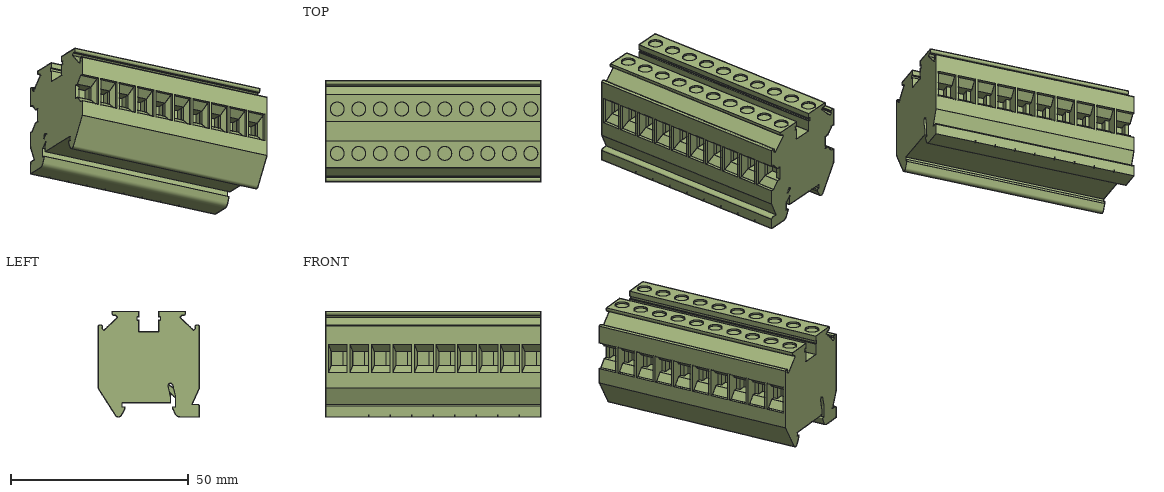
import cadquery as cq
import math


LENGTH = 60.45
WIDTH = 28.5
HEIGHT = 29.7
HALF_WIDTH = WIDTH / 2
POLE_COUNT = 10
PITCH = LENGTH / POLE_COUNT

WALL_BOTTOM = 8.1
LIP_EDGE_Z = 25.65

LIP_CREST = (13.7, 25.92)
LIP_INNER_Y = 13.05
LIP_UNDERCUT_TOP = (12.93, 25.3)
LIP_UNDERCUT_BOTTOM = (13.15, 24.95)
SHOULDER_FOOT = (12.6, 24.4)
SHOULDER_HEAD = (8.8, 28.0)
OVERHANG_INNER = (9.3, 28.55)
OVERHANG_OUTER = (9.95, 28.58)
RAIL_EDGE_BOTTOM = (10.2, 28.8)
RAIL_EDGE_MIDDLE = (10.35, 29.25)
RAIL_EDGE_Y = 10.25

RECESS_TOP = 4.0
RECESS_HALF_WIDTH = 7.47
HOOK_TOP = 2.84
REAR_HOOK_TIP_Y = 6.73
REAR_HOOK_TIP_Z = 2.2
REAR_TOE_Y = 8.53
REAR_TOE_RADIUS = 1.0
FRONT_HOOK_TIP_Y = -6.5
FRONT_TOE_Y = -7.8
FRONT_TOE_RADIUS = 1.7
HOOK_TIP_RADIUS = 0.2
FOOT_TOP = 3.6
FOOT_INNER_Y = -12.2
FOOT_CORNER_WIDTH = 0.55
FOOT_CORNER_HEIGHT = 0.5
FOOT_CORNER_MIDDLE = (-14.045, 3.43)

SLOT_WIDTH = 1.32
SLOT_REAR_Y = -RECESS_HALF_WIDTH + SLOT_WIDTH
SLOT_REAR_BEND_Z = 5.7
SLOT_FRONT_BEND_Z = 6.1
SLOT_END_Y = -6.08
SLOT_END_Z = 8.8
SLOT_LEAN = math.radians(16)

WEB_REAR_Y = -5.2
WEB_FRONT_Y = -7.6
WEB_REAR_TOP_Z = 9.4
WEB_REAR_BOTTOM_Z = 7.5
WEB_FRONT_TOP_Z = 7.7
WEB_FRONT_BOTTOM_Z = 5.3

CHANNEL_HALF_WIDTH = 2.75
CHANNEL_FLOOR = 24.03
GROOVE_DEPTH = 0.55
GROOVE_BOTTOM = 27.25
GROOVE_TOP = 28.15

SCREW_DIAMETER = 3.9
SCREW_DEPTH = 0.5
SCREW_Y = 6.24
SCREW_X = 3.25

MOUTH_LEFT = 0.73
MOUTH_HEIGHT = 7.93
MOUTH_DEPTH = 0.9
NECK_LEFT = 1.56
NECK_HEIGHT = 3.94
NECK_START = 2.75
NECK_END = 3.85
CAVITY_WIDTH = 3.25
CAVITY_END = 6.0
FUNNEL_Z = 16.47

FIRST_SLIT_JOINT = 2
SLIT_WIDTH = 0.1
SLIT_HEIGHT = 0.6
SLIT_DEPTH = 0.5


def toe_tangent(start_y, start_z, side):
    """Point where a line from the start touches the rear toe circle; side is +1 or -1 along Y."""
    dy = start_y - REAR_TOE_Y
    dz = start_z - REAR_TOE_RADIUS
    half_angle = math.acos(REAR_TOE_RADIUS / math.hypot(dy, dz))
    angle = math.atan2(dz, dy) - side * half_angle
    return (
        REAR_TOE_Y + REAR_TOE_RADIUS * math.cos(angle),
        REAR_TOE_RADIUS + REAR_TOE_RADIUS * math.sin(angle),
    )


def upper_section():
    """Half of the outline above the lower wall edge, on the +Y side of the centre plane."""
    return (
        cq.Workplane("YZ")
        .moveTo(0, WALL_BOTTOM)
        .lineTo(HALF_WIDTH, WALL_BOTTOM)
        .lineTo(HALF_WIDTH, LIP_EDGE_Z)
        .threePointArc(LIP_CREST, (LIP_INNER_Y, LIP_EDGE_Z))
        .lineTo(*LIP_UNDERCUT_TOP)
        .lineTo(*LIP_UNDERCUT_BOTTOM)
        .lineTo(*SHOULDER_FOOT)
        .lineTo(*SHOULDER_HEAD)
        .lineTo(*OVERHANG_INNER)
        .lineTo(*OVERHANG_OUTER)
        .lineTo(*RAIL_EDGE_BOTTOM)
        .threePointArc(RAIL_EDGE_MIDDLE, (RAIL_EDGE_Y, HEIGHT))
        .lineTo(CHANNEL_HALF_WIDTH, HEIGHT)
        .lineTo(CHANNEL_HALF_WIDTH, GROOVE_TOP)
        .lineTo(CHANNEL_HALF_WIDTH + GROOVE_DEPTH, GROOVE_TOP)
        .lineTo(CHANNEL_HALF_WIDTH + GROOVE_DEPTH, GROOVE_BOTTOM)
        .lineTo(CHANNEL_HALF_WIDTH, GROOVE_BOTTOM)
        .lineTo(CHANNEL_HALF_WIDTH, CHANNEL_FLOOR)
        .lineTo(0, CHANNEL_FLOOR)
        .close()
        .extrude(LENGTH)
    )


def lower_section():
    """Part below the lower wall edge, with the rail recess and both feet."""
    toe_outer = toe_tangent(HALF_WIDTH, WALL_BOTTOM, 1)
    toe_inner = toe_tangent(REAR_HOOK_TIP_Y, REAR_HOOK_TIP_Z, -1)
    section = (
        cq.Workplane("YZ")
        .moveTo(HALF_WIDTH, WALL_BOTTOM)
        .lineTo(*toe_outer)
        .threePointArc((REAR_TOE_Y, 0), toe_inner)
        .lineTo(REAR_HOOK_TIP_Y, REAR_HOOK_TIP_Z)
        .lineTo(REAR_HOOK_TIP_Y, HOOK_TOP)
        .lineTo(RECESS_HALF_WIDTH, HOOK_TOP)
        .lineTo(RECESS_HALF_WIDTH, RECESS_TOP)
        .lineTo(-RECESS_HALF_WIDTH, RECESS_TOP)
        .lineTo(-RECESS_HALF_WIDTH, HOOK_TOP)
        .lineTo(FRONT_HOOK_TIP_Y, HOOK_TOP)
        .lineTo(FRONT_TOE_Y, 0)
        .lineTo(-HALF_WIDTH, 0)
        .lineTo(-HALF_WIDTH, FOOT_TOP - FOOT_CORNER_HEIGHT)
        .threePointArc(FOOT_CORNER_MIDDLE, (FOOT_CORNER_WIDTH - HALF_WIDTH, FOOT_TOP))
        .lineTo(FOOT_INNER_Y, FOOT_TOP)
        .lineTo(-HALF_WIDTH, WALL_BOTTOM)
        .close()
        .extrude(LENGTH)
    )
    section = round_long_edge(section, FRONT_HOOK_TIP_Y, HOOK_TOP, HOOK_TIP_RADIUS)
    return round_long_edge(section, FRONT_TOE_Y, 0, FRONT_TOE_RADIUS)


def round_long_edge(body, y, z, radius):
    """Round the lengthwise edge that passes through the given Y and Z."""
    edge = cq.selectors.NearestToPointSelector((LENGTH / 2, y, z))
    return body.edges("|X").edges(edge).fillet(radius)


def spring_slot():
    """Slot rising from the rail recess and leaning rearwards to a round end."""
    radius = SLOT_WIDTH / 2
    side_y = radius * math.cos(SLOT_LEAN)
    side_z = radius * math.sin(SLOT_LEAN)
    end_y = SLOT_END_Y + radius * math.sin(SLOT_LEAN)
    end_z = SLOT_END_Z + radius * math.cos(SLOT_LEAN)
    return (
        cq.Workplane("YZ")
        .moveTo(-RECESS_HALF_WIDTH, RECESS_TOP)
        .lineTo(-RECESS_HALF_WIDTH, SLOT_FRONT_BEND_Z)
        .lineTo(SLOT_END_Y - side_y, SLOT_END_Z + side_z)
        .threePointArc((end_y, end_z), (SLOT_END_Y + side_y, SLOT_END_Z - side_z))
        .lineTo(SLOT_REAR_Y, SLOT_REAR_BEND_Z)
        .lineTo(SLOT_REAR_Y, RECESS_TOP)
        .close()
        .extrude(LENGTH)
    )


def slot_web():
    """Oblique band that bridges the spring slot from the second pole to the far end."""
    return (
        cq.Workplane("YZ", origin=(PITCH, 0, 0))
        .moveTo(WEB_REAR_Y, WEB_REAR_TOP_Z)
        .lineTo(WEB_FRONT_Y, WEB_FRONT_TOP_Z)
        .lineTo(WEB_FRONT_Y, WEB_FRONT_BOTTOM_Z)
        .lineTo(WEB_REAR_Y, WEB_REAR_BOTTOM_Z)
        .close()
        .extrude(LENGTH - PITCH)
    )


def funnel_box(left, right, height, start, end):
    """Box between two depths behind the front wall, centred on the funnel height."""
    corner = (left, start - HALF_WIDTH, FUNNEL_Z)
    return cq.Workplane("XY", origin=corner).box(
        right - left, end - start, height, centered=(False, False, True)
    )


def funnel():
    """Wire funnel of the first pole, entering from the front wall."""
    mouth = funnel_box(MOUTH_LEFT, PITCH, MOUTH_HEIGHT, 0, MOUTH_DEPTH)
    neck = funnel_box(NECK_LEFT, PITCH, NECK_HEIGHT, NECK_START, NECK_END)
    cavity_left = SCREW_X - CAVITY_WIDTH / 2
    cavity_right = SCREW_X + CAVITY_WIDTH / 2
    cavity = funnel_box(cavity_left, cavity_right, NECK_HEIGHT, NECK_END, CAVITY_END)
    mouth_width = PITCH - MOUTH_LEFT
    neck_width = PITCH - NECK_LEFT
    throat = (
        cq.Workplane("XZ", origin=(0, MOUTH_DEPTH - HALF_WIDTH, FUNNEL_Z))
        .center(MOUTH_LEFT + mouth_width / 2, 0)
        .rect(mouth_width, MOUTH_HEIGHT)
        .workplane(offset=MOUTH_DEPTH - NECK_START)
        .center((NECK_LEFT - MOUTH_LEFT) / 2, 0)
        .rect(neck_width, NECK_HEIGHT)
        .loft(ruled=True)
    )
    return mouth.union(throat).union(neck).union(cavity)


def cut_poles(body):
    """Cut the funnels and screw recesses of every pole on both sides."""
    front_funnel = funnel()
    rear_funnel = front_funnel.mirror("XZ")
    screw = (
        cq.Workplane("XY", origin=(SCREW_X, 0, HEIGHT - SCREW_DEPTH))
        .pushPoints([(0, -SCREW_Y), (0, SCREW_Y)])
        .circle(SCREW_DIAMETER / 2)
        .extrude(SCREW_DEPTH)
    )
    for pole in range(POLE_COUNT):
        shift = (pole * PITCH, 0, 0)
        for cutter in (front_funnel, rear_funnel, screw):
            body = body.cut(cutter.translate(shift))
    return body


def cut_joint_slits(body):
    """Cut the fine slits between poles in the bottom front edge."""
    slit = cq.Workplane("XY").box(SLIT_WIDTH, SLIT_DEPTH, SLIT_HEIGHT, centered=(True, False, False))
    for joint in range(FIRST_SLIT_JOINT, POLE_COUNT):
        body = body.cut(slit.translate((joint * PITCH, -HALF_WIDTH, 0)))
    return body


half_top = upper_section()
body = half_top.union(half_top.mirror("XZ")).union(lower_section())
body = body.cut(spring_slot().cut(slot_web()))
body = cut_poles(body)
result = cut_joint_slits(body).clean()